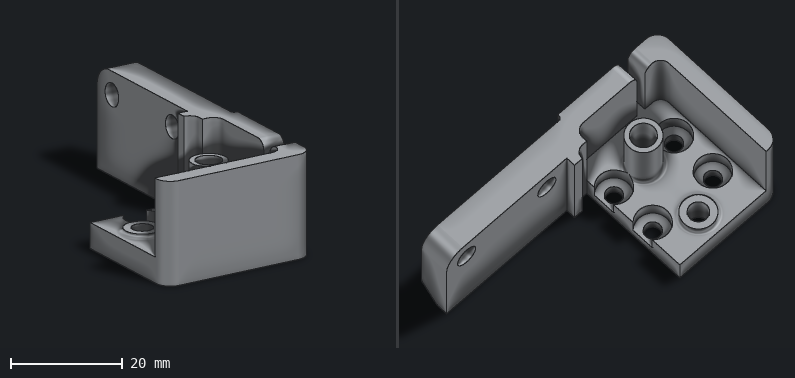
import cadquery as cq

length = 60.0
depth = 31.4
height = 20.0

base_left = 35.0
base_thickness = 5.0
side_wall = 3.5
back_wall = 4.4
outer_radius = 3.0
pocket_radius = 2.1

arm_front = 23.9
arm_back_step = 1.0
arm_step_radius = 0.65
arm_tip_radius = 4.0
arm_hole_diameter = 4.5
arm_hole_x = (5.0, 25.0)
arm_hole_z = 15.5

hook_left = 30.0
hook_width = 2.0
hook_depth = 2.0
hook_radius = 1.9

slot_left = 50.5
slot_width = 2.0
slot_lip_radius = 2.0

screw_x = (37.5, 52.5)
screw_y = (9.55, 19.5)
screw_diameter = 3.4
counterbore_diameter = 7.0
counterbore_floor = 2.0

boss_x = 44.5
boss_diameter = 7.0
flare_radius = 0.95
tube_y = 19.15
tube_top = 16.0
tube_bore = 5.0
low_boss_y = 5.05
low_boss_top = base_thickness + flare_radius
low_boss_bore = 4.0


def box(x_range, y_range, z_range):
    """Box between the given coordinate limits."""
    limits = (x_range, y_range, z_range)
    sizes = [high - low for low, high in limits]
    corner = tuple(low for low, high in limits)
    return cq.Workplane("XY").box(*sizes, centered=False).translate(corner)


def cylinder(x, y, diameter, bottom, top):
    """Upright cylinder between two heights."""
    return cq.Workplane("XY", origin=(x, y, bottom)).circle(diameter / 2).extrude(top - bottom)


def make_body():
    """Block with rounded right corners and a pocket open to the front and left."""
    body = box((base_left, length), (0, depth), (0, height))
    body = body.edges("|Z and >X").fillet(outer_radius)
    pocket_right = length - side_wall
    pocket_back = depth - back_wall
    pocket = box((base_left, pocket_right), (-pocket_radius, pocket_back), (base_thickness, height))
    return body.cut(pocket.edges("|Z and >Y").fillet(pocket_radius))


def make_arm():
    """Arm with a rounded tip, blended into the back of the block and the pocket."""
    arm_back = depth - arm_back_step
    arm = box((0, base_left), (arm_front, arm_back), (0, height))
    arm = arm.edges("|Y and <X and >Z").fillet(arm_tip_radius)

    step_blend = (
        cq.Workplane("XY")
        .moveTo(base_left, arm_back)
        .lineTo(base_left, arm_back + arm_step_radius)
        .radiusArc((base_left - arm_step_radius, arm_back), arm_step_radius)
        .close()
        .extrude(height)
    )
    chamfer = (
        cq.Workplane("YZ")
        .polyline([(depth, 0), (depth, base_thickness), (depth - base_thickness, 0)])
        .close()
        .extrude(base_left)
    )
    arm = arm.union(step_blend).cut(chamfer)
    for x in arm_hole_x:
        hole = cq.Workplane("XZ", origin=(x, 0, arm_hole_z)).circle(arm_hole_diameter / 2).extrude(-depth)
        arm = arm.cut(hole)
    return arm


def make_pocket_blend():
    """Rounded inner corner where the pocket's back wall meets the end of the arm."""
    pocket_back = depth - back_wall
    return (
        cq.Workplane("XY")
        .moveTo(base_left, pocket_back)
        .lineTo(base_left + pocket_radius, pocket_back)
        .radiusArc((base_left, pocket_back - pocket_radius), -pocket_radius)
        .close()
        .extrude(height)
    )


def make_hook():
    """Full-height rib with a concave blend on its right side."""
    hook_right = hook_left + hook_width
    return (
        cq.Workplane("XY")
        .moveTo(hook_left, arm_front)
        .lineTo(hook_left, arm_front - hook_depth)
        .lineTo(hook_right, arm_front - hook_depth)
        .lineTo(hook_right, arm_front - hook_radius)
        .radiusArc((hook_right + hook_radius, arm_front), hook_radius)
        .close()
        .extrude(height)
    )


def make_slot():
    """Cutter for the slot down to the base, with rounded lips at the top."""
    slot_right = slot_left + slot_width
    lip_bottom = height - slot_lip_radius
    return (
        cq.Workplane("XZ", origin=(0, depth, 0))
        .moveTo(slot_left, base_thickness)
        .lineTo(slot_left, lip_bottom)
        .radiusArc((slot_left - slot_lip_radius, height), -slot_lip_radius)
        .lineTo(slot_right + slot_lip_radius, height)
        .radiusArc((slot_right, lip_bottom), -slot_lip_radius)
        .lineTo(slot_right, base_thickness)
        .close()
        .extrude(back_wall)
    )


def make_boss(y, top):
    """Round boss on the base with a concave flare at its foot."""
    radius = boss_diameter / 2
    flare_top = base_thickness + flare_radius
    outline = (
        cq.Workplane("XZ")
        .moveTo(0, 0)
        .lineTo(radius + flare_radius, 0)
        .lineTo(radius + flare_radius, base_thickness)
        .radiusArc((radius, flare_top), flare_radius)
    )
    if top > flare_top:
        outline = outline.lineTo(radius, top)
    boss = outline.lineTo(0, top).close().revolve(360, (0, 0, 0), (0, 1, 0))
    return boss.translate((boss_x, y, 0))


result = make_body().union(make_arm()).union(make_pocket_blend()).union(make_hook()).cut(make_slot())

for boss_y, boss_top, bore in (
    (tube_y, tube_top, tube_bore),
    (low_boss_y, low_boss_top, low_boss_bore),
):
    result = result.union(make_boss(boss_y, boss_top))
    result = result.cut(cylinder(boss_x, boss_y, bore, 0, boss_top))

screw_cut_zone = box((base_left, length), (0, depth), (0, height))
for x in screw_x:
    for y in screw_y:
        cutter = cylinder(x, y, screw_diameter, 0, base_thickness)
        cutter = cutter.union(
            cylinder(x, y, counterbore_diameter, counterbore_floor, base_thickness + flare_radius)
        )
        result = result.cut(cutter.intersect(screw_cut_zone))